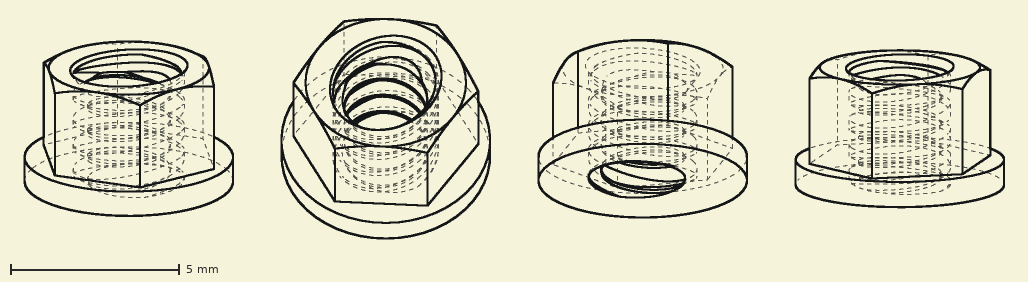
import cadquery as cq
import math

total_height = 3.57
flange_diameter = 6.2
flange_thickness = 0.77
hex_sides = 6
across_flats = 4.765
hex_chamfer_angle = 30.0

countersink_half_x = 1.575
countersink_half_y = 1.832
countersink_wall_angle = 35.0

bore_radius = 1.235
groove_root_half_x = 1.485
groove_root_half_y = 1.74
thread_pitch = 0.795
crest_width = 0.1
flank_angle = 30.0
crest_depth_at_back = 0.69

across_corners = across_flats / math.cos(math.radians(180 / hex_sides))
flank_slope = math.tan(math.radians(flank_angle))


def make_flange():
    return cq.Workplane("XY").circle(flange_diameter / 2).extrude(flange_thickness)


def make_hexagon():
    """Hexagonal body with flats on +X and -X and its top corners turned to a cone."""
    prism = (
        cq.Workplane("XY")
        .polygon(hex_sides, across_corners)
        .extrude(total_height)
        .rotate((0, 0, 0), (0, 0, 1), 180 / hex_sides)
    )
    flat_radius = across_flats / 2
    outer_radius = flange_diameter / 2
    cone_drop = (outer_radius - flat_radius) * math.tan(math.radians(hex_chamfer_angle))
    envelope = (
        cq.Workplane("XZ")
        .polyline(
            [
                (0, 0),
                (outer_radius, 0),
                (outer_radius, total_height - cone_drop),
                (flat_radius, total_height),
                (0, total_height),
            ]
        )
        .close()
        .revolve(360, (0, 0, 0), (0, 1, 0))
    )
    return prism.intersect(envelope)


def make_bore():
    return cq.Workplane("XY").circle(bore_radius).extrude(total_height)


def make_countersink():
    """Drafted elliptical cut, deep enough to vanish into the round bore on every side."""
    run_out = 0.02
    inset = countersink_half_y - bore_radius + run_out
    depth = inset / math.tan(math.radians(countersink_wall_angle))
    return (
        cq.Workplane("XY")
        .workplane(offset=total_height)
        .ellipse(countersink_half_x, countersink_half_y)
        .extrude(-depth, taper=countersink_wall_angle)
    )


def make_thread_groove():
    """V groove swept along a helix, its root flattened by an elliptical cylinder.

    The helix overruns both ends of the bore; the cylinder trims it to the part's height.
    """
    overlap = 0.05
    mouth_half = (thread_pitch - crest_width) / 2
    inner_half = mouth_half + overlap * flank_slope
    inner_radius = bore_radius - overlap
    tip_radius = bore_radius + mouth_half / flank_slope

    groove_centre_on_back = total_height - crest_depth_at_back + mouth_half
    groove_centre_on_start = groove_centre_on_back - thread_pitch / 4
    turns_below = math.ceil(groove_centre_on_start / thread_pitch) + 1
    turns_above = 2
    start_z = groove_centre_on_start - turns_below * thread_pitch
    helix_height = (turns_below + turns_above) * thread_pitch

    helix = cq.Wire.makeHelix(thread_pitch, helix_height, bore_radius, cq.Vector(0, 0, start_z))
    v_groove = (
        cq.Workplane("XZ")
        .polyline(
            [
                (inner_radius, start_z - inner_half),
                (tip_radius, start_z),
                (inner_radius, start_z + inner_half),
            ]
        )
        .close()
        .sweep(cq.Workplane(obj=helix), isFrenet=True)
    )
    root_cylinder = (
        cq.Workplane("XY")
        .ellipse(groove_root_half_x, groove_root_half_y, rotation_angle=180)
        .extrude(total_height)
    )
    return v_groove.intersect(root_cylinder)


nut = make_flange().union(make_hexagon())
nut = nut.cut(make_countersink())
nut = nut.cut(make_thread_groove())
result = nut.cut(make_bore())